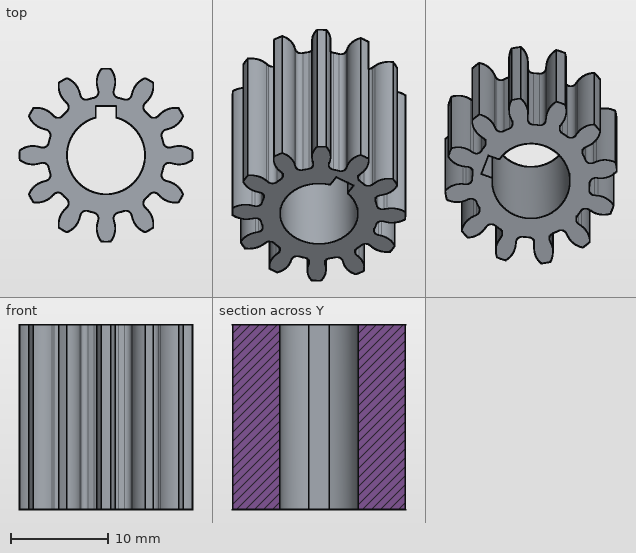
import cadquery as cq
import math


tooth_count = 12
module = 1.27
dedendum_factor = 1.25
face_width = 19.0

pitch_radius = module * tooth_count / 2
tip_radius = pitch_radius + module
root_radius = pitch_radius - dedendum_factor * module
tooth_pitch_angle = 360 / tooth_count

tip_thickness = 0.95
widest_thickness = 1.92
widest_height = 7.5
neck_thickness = 1.58
root_fillet = 0.6

bore_diameter = 8.0
key_width = 2.1
key_top = 5.05


def point_on_circle(center, radius, angle):
    """Point of a circle at an angle measured from the +X direction."""
    return (center[0] + radius * math.cos(angle), center[1] + radius * math.sin(angle))


def mirror(point):
    """Same point on the other side of the tooth centreline."""
    return (-point[0], point[1])


def make_tooth():
    """One tooth along +Y, with its root fillets, reaching down to the gear axis."""
    tip_x = tip_thickness / 2
    tip_corner = (tip_x, math.sqrt(tip_radius**2 - tip_x**2))
    rise = tip_corner[1] - widest_height
    inset = widest_thickness / 2 - tip_x
    flank_radius = (rise**2 + inset**2) / (2 * inset)
    flank_center = (widest_thickness / 2 - flank_radius, widest_height)

    fillet_x = neck_thickness / 2 + root_fillet
    fillet_y = math.sqrt((root_radius + root_fillet) ** 2 - fillet_x**2)
    fillet_center = (fillet_x, fillet_y)
    root_angle = math.atan2(fillet_y, fillet_x)
    root_point = point_on_circle((0, 0), root_radius, root_angle)

    dx = fillet_x - flank_center[0]
    dy = fillet_y - flank_center[1]
    tangent_turn = math.acos((flank_radius + root_fillet) / math.hypot(dx, dy))
    normal_angle = math.atan2(dy, dx) + tangent_turn
    flank_end = point_on_circle(flank_center, flank_radius, normal_angle)
    fillet_start = point_on_circle(fillet_center, root_fillet, normal_angle + math.pi)

    tip_angle = math.asin(rise / flank_radius)
    flank_middle = point_on_circle(flank_center, flank_radius, (tip_angle + normal_angle) / 2)
    fillet_middle_angle = math.pi + (normal_angle + root_angle) / 2
    fillet_middle = point_on_circle(fillet_center, root_fillet, fillet_middle_angle)

    return (
        cq.Workplane("XY")
        .lineTo(*mirror(root_point))
        .threePointArc(mirror(fillet_middle), mirror(fillet_start))
        .lineTo(*mirror(flank_end))
        .threePointArc(mirror(flank_middle), mirror(tip_corner))
        .threePointArc((0, tip_radius), tip_corner)
        .threePointArc(flank_middle, flank_end)
        .lineTo(*fillet_start)
        .threePointArc(fillet_middle, root_point)
        .close()
        .extrude(face_width)
    )


def make_gear():
    """Root cylinder with the ring of teeth."""
    gear = cq.Workplane("XY").circle(root_radius).extrude(face_width)
    tooth = make_tooth()
    for index in range(tooth_count):
        gear = gear.union(tooth.rotate((0, 0, 0), (0, 0, 1), index * tooth_pitch_angle))
    return gear


def make_bore():
    """Through bore joined with the keyway on its +Y side."""
    bore = cq.Workplane("XY").circle(bore_diameter / 2).extrude(face_width)
    keyway = cq.Workplane("XY").center(0, key_top / 2).rect(key_width, key_top).extrude(face_width)
    return bore.union(keyway)


result = make_gear().cut(make_bore())